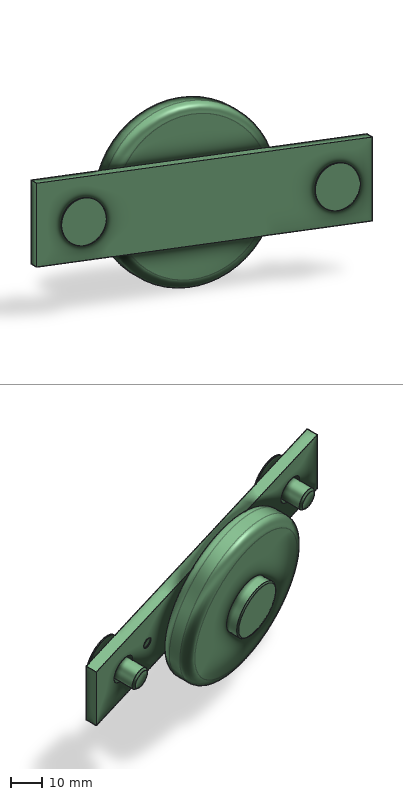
import cadquery as cq


hub_diameter = 21.0
hub_length = 20.0
hub_chamfer = 0.5
wheel_diameter = 62.0
wheel_width = 11.1
wheel_edge_radius = 3.5

plate_length = 119.0
plate_height = 28.0
plate_thickness = 4.0
plate_center_z = 0.5

screw_spacing = 90.0
screw_length = 16.0
screw_diameter = 8.0
screw_tip_diameter = 6.5
screw_head_diameter = 16.0
screw_head_rim = 0.5
clearance_diameter = 10.0

dimple_spacing = 64.0
dimple_diameter = 3.9
dimple_floor_diameter = 3.5

hole_line_z = 1.0

wheel_start_x = (hub_length - wheel_width) / 2
plate_front_x = hub_length
overall_depth = 28.8
screw_tip_x = overall_depth - screw_length


def x_cylinder(diameter, length, start_x, y=0, z=0):
    """Cylinder along +X from start_x, with its axis at (y, z)."""
    return cq.Workplane("YZ", origin=(start_x, y, z)).circle(diameter / 2).extrude(length)


def mirrored_positions(spacing):
    """The two Y positions set symmetrically about the wheel axis."""
    return [-spacing / 2, spacing / 2]


def make_hub():
    """Straight hub with both end edges chamfered."""
    return x_cylinder(hub_diameter, hub_length, 0).edges().chamfer(hub_chamfer)


def make_wheel():
    """Disc with rounded rim edges and a bore that fits the hub."""
    disc = x_cylinder(wheel_diameter, wheel_width, wheel_start_x).edges().fillet(wheel_edge_radius)
    bore = x_cylinder(hub_diameter, wheel_width, wheel_start_x)
    return disc.cut(bore)


def make_dimple_cutter(y):
    """Truncated cone that narrows from the plate face to the dimple floor."""
    rim_radius = dimple_diameter / 2
    floor_radius = dimple_floor_diameter / 2
    depth = rim_radius - floor_radius
    face_center = cq.Vector(plate_front_x, y, hole_line_z)
    into_plate = cq.Vector(1, 0, 0)
    return cq.Workplane(cq.Solid.makeCone(rim_radius, floor_radius, depth, face_center, into_plate))


def make_plate():
    """Flat bar with two clearance holes and two shallow dimples."""
    plate = cq.Workplane("XY").box(plate_thickness, plate_length, plate_height)
    plate = plate.translate((plate_front_x + plate_thickness / 2, 0, plate_center_z))
    for y in mirrored_positions(screw_spacing):
        plate = plate.cut(x_cylinder(clearance_diameter, plate_thickness, plate_front_x, y, hole_line_z))
    for y in mirrored_positions(dimple_spacing):
        plate = plate.cut(make_dimple_cutter(y))
    return plate


def make_screw(y):
    """Countersunk screw at the given Y, turned from its half profile."""
    shank_radius = screw_diameter / 2
    tip_radius = screw_tip_diameter / 2
    head_radius = screw_head_diameter / 2
    tip_chamfer = shank_radius - tip_radius
    rim_start = screw_length - screw_head_rim
    cone_start = rim_start - (head_radius - shank_radius)
    profile = [
        (0, 0),
        (0, tip_radius),
        (tip_chamfer, shank_radius),
        (cone_start, shank_radius),
        (rim_start, head_radius),
        (screw_length, head_radius),
        (screw_length, 0),
    ]
    screw = cq.Workplane("XY").polyline(profile).close().revolve(360, (0, 0, 0), (1, 0, 0))
    return screw.translate((screw_tip_x, y, hole_line_z))


hub = make_hub()
wheel = make_wheel()
plate = make_plate()
screws = [make_screw(y) for y in mirrored_positions(screw_spacing)]

result = cq.Compound.makeCompound([
    hub.val(),
    wheel.val(),
    plate.val(),
    *[screw.val() for screw in screws],
])